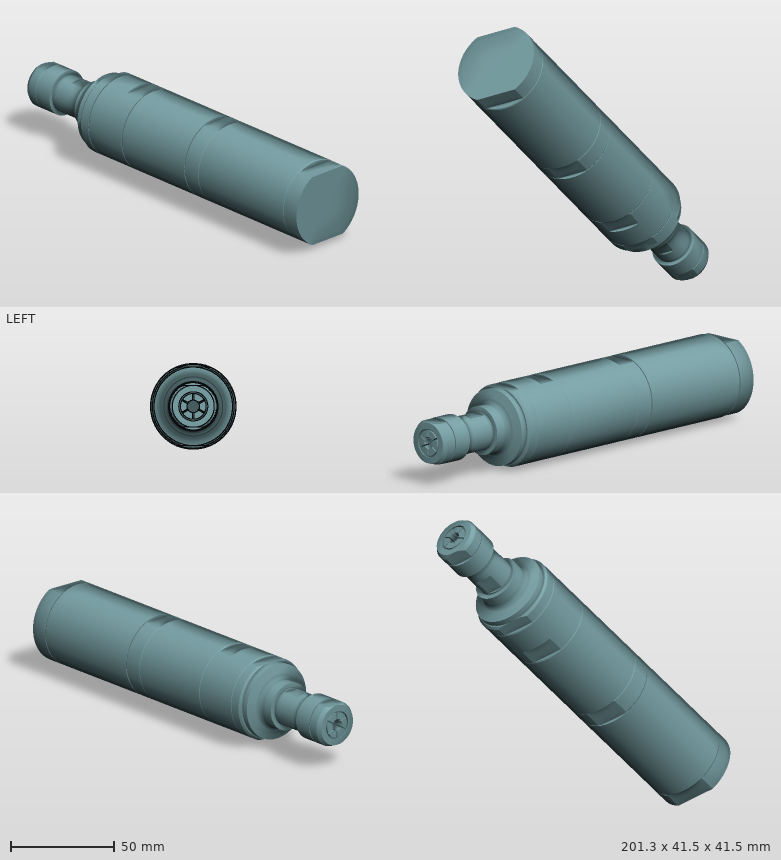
import cadquery as cq
import math

LENGTH = 201.3
NUT_CHAMFER_END = 2.0
NUT_FLAT_END = 7.6
NUT_END = 17.1
SHAFT_END = 35.2
COLLAR_END = 40.9
FLARE_END = 43.5
NOSE_START = 44.9
CAP_START = 48.1
CAP_FULL_START = 49.1
CAP_END = 54.1
FRONT_BODY_FLAT_START = 68.5
FRONT_BODY_END = 77.7
RING_START = 122.0
RING_END = 132.5
MAIN_BODY_END = 192.5

BODY_DIAMETER = 41.5
NOSE_DIAMETER = 38.0
CAP_FRONT_DIAMETER = 39.7
FLARE_DIAMETER = 28.5
COLLAR_DIAMETER = 24.0
NUT_DIAMETER = 23.0
NUT_TIP_DIAMETER = 20.3
SHAFT_DIAMETER = 19.0
NUT_BORE_DIAMETER = 14.0
COLLET_DIAMETER = 12.5
COLLET_BORE_DIAMETER = 6.0

JOINT_CHAMFER_LENGTH = 0.6
JOINT_CHAMFER_HEIGHT = 0.5

NUT_ACROSS_FLATS = 20.1
SHAFT_ACROSS_FLATS = 17.1
BODY_ACROSS_FLATS = 38.0
REAR_ACROSS_FLATS = 36.0
SHAFT_FLAT_START = 24.5
SHAFT_FLAT_END = 34.5

COLLET_SLOT_COUNT = 6
COLLET_SLOT_WIDTH = 0.6
COLLET_SLOT_DEPTH = 4.0
COLLET_GAP_DEPTH = 1.0
COLLET_BORE_DEPTH = 17.1


def spindle_body():
    """Revolved outline of the nut, shaft, flared nose and cylindrical body."""
    body_radius = BODY_DIAMETER / 2
    joint_radius = body_radius - JOINT_CHAMFER_HEIGHT
    nut_radius = NUT_DIAMETER / 2
    collar_radius = COLLAR_DIAMETER / 2
    flare_radius = FLARE_DIAMETER / 2
    bend = math.radians(35)
    flare_middle = (
        COLLAR_END + (FLARE_END - COLLAR_END) * math.sin(bend),
        collar_radius + (flare_radius - collar_radius) * (1 - math.cos(bend)),
    )
    outline = (
        cq.Workplane("XY")
        .moveTo(0, 0)
        .lineTo(0, NUT_TIP_DIAMETER / 2)
        .lineTo(NUT_CHAMFER_END, nut_radius)
        .lineTo(NUT_FLAT_END - JOINT_CHAMFER_LENGTH, nut_radius)
        .lineTo(NUT_FLAT_END, nut_radius - JOINT_CHAMFER_HEIGHT)
        .lineTo(NUT_FLAT_END, nut_radius)
        .lineTo(NUT_END, nut_radius)
        .lineTo(NUT_END, SHAFT_DIAMETER / 2)
        .lineTo(SHAFT_END, SHAFT_DIAMETER / 2)
        .lineTo(SHAFT_END, collar_radius)
        .lineTo(COLLAR_END, collar_radius)
        .threePointArc(flare_middle, (FLARE_END, flare_radius))
        .lineTo(NOSE_START, NOSE_DIAMETER / 2)
        .lineTo(CAP_START, NOSE_DIAMETER / 2)
        .lineTo(CAP_START, CAP_FRONT_DIAMETER / 2)
        .lineTo(CAP_FULL_START, body_radius)
        .lineTo(CAP_END, body_radius)
        .lineTo(CAP_END, joint_radius)
        .lineTo(CAP_END + JOINT_CHAMFER_LENGTH, body_radius)
        .lineTo(FRONT_BODY_END, body_radius)
        .lineTo(FRONT_BODY_END, joint_radius)
        .lineTo(FRONT_BODY_END + JOINT_CHAMFER_LENGTH, body_radius)
        .lineTo(RING_START, body_radius)
        .lineTo(RING_START, joint_radius)
        .lineTo(RING_START + JOINT_CHAMFER_LENGTH, body_radius)
        .lineTo(RING_END - JOINT_CHAMFER_LENGTH, body_radius)
        .lineTo(RING_END, joint_radius)
        .lineTo(RING_END, body_radius)
        .lineTo(MAIN_BODY_END - JOINT_CHAMFER_LENGTH, body_radius)
        .lineTo(MAIN_BODY_END, joint_radius)
        .lineTo(MAIN_BODY_END, body_radius)
        .lineTo(LENGTH, body_radius)
        .lineTo(LENGTH, 0)
        .close()
    )
    return outline.revolve(360, (0, 0, 0), (1, 0, 0))


def flat_pair(start, end, across_flats):
    """Material removed outside a pair of flats facing +Z and -Z."""
    length = end - start
    middle = (start + end) / 2
    outside = cq.Workplane("XY").box(length, 2 * BODY_DIAMETER, 2 * BODY_DIAMETER)
    kept = cq.Workplane("XY").box(length, 2 * BODY_DIAMETER, across_flats)
    return outside.cut(kept).translate((middle, 0, 0))


def collet_openings():
    """Bore, slots and annular gap of the collet in the nut mouth."""
    bore = cq.Workplane("YZ").circle(COLLET_BORE_DIAMETER / 2).extrude(COLLET_BORE_DEPTH)
    gap = (
        cq.Workplane("YZ")
        .circle(NUT_BORE_DIAMETER / 2)
        .circle(COLLET_DIAMETER / 2)
        .extrude(COLLET_GAP_DEPTH)
    )
    slot_length = COLLET_DIAMETER / 2
    openings = bore.union(gap)
    for index in range(COLLET_SLOT_COUNT):
        slot = (
            cq.Workplane("YZ")
            .center(0, slot_length / 2)
            .rect(COLLET_SLOT_WIDTH, slot_length)
            .extrude(COLLET_SLOT_DEPTH)
            .rotate((0, 0, 0), (1, 0, 0), index * 360 / COLLET_SLOT_COUNT)
        )
        openings = openings.union(slot)
    return openings


FLATS = [
    (0, NUT_FLAT_END, NUT_ACROSS_FLATS),
    (SHAFT_FLAT_START, SHAFT_FLAT_END, SHAFT_ACROSS_FLATS),
    (CAP_START, CAP_END, BODY_ACROSS_FLATS),
    (FRONT_BODY_FLAT_START, FRONT_BODY_END, BODY_ACROSS_FLATS),
    (RING_START, RING_END, BODY_ACROSS_FLATS),
    (MAIN_BODY_END, LENGTH, REAR_ACROSS_FLATS),
]

result = spindle_body()
for flat_start, flat_end, flat_size in FLATS:
    result = result.cut(flat_pair(flat_start, flat_end, flat_size))
result = result.cut(collet_openings())